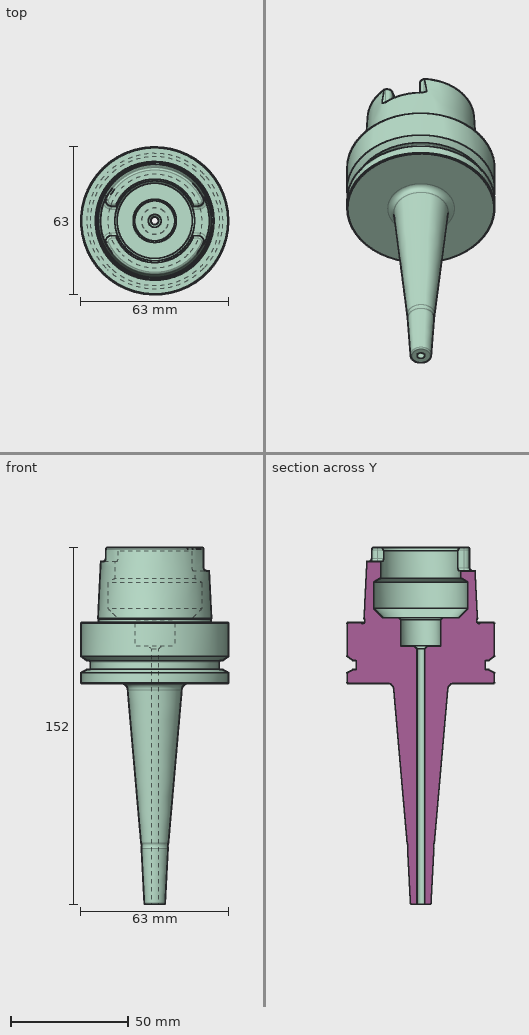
import cadquery as cq
import math


shank_length = 32.0
gauge_diameter = 48.01
gauge_height = 6.3
taper_per_radius = 1 / 20
rim_round = 1.0

relief_diameter = 48.04
relief_height = 1.8
relief_chamfer_height = 0.4
relief_fillet = 0.9
face_recess_diameter = 50.6
face_recess_depth = 0.4

flange_diameter = 63.0
flange_thickness = 26.0
flange_edge = 0.4
groove_diameter = 55.0
groove_mouth_top = -14.4
groove_mouth_bottom = -21.4
groove_wall_top = -16.3
groove_wall_bottom = -20.0
groove_flare_foot_diameter = 57.8
groove_root_fillet = 0.4

overall_length = 152.0
nose_tip_z = shank_length - overall_length
neck_diameter = 23.2
neck_fillet = 2.6
nose_groove_top_z = -93.8
nose_groove_length = 2.2
nose_groove_sag = 0.2
nose_upper_angle = 5.0
nose_lower_diameter = 11.45
nose_lower_angle = 3.0
tip_fillet = 0.6

bore_diameter = 34.0
bore_mouth_diameter = 35.6
bore_mouth_height = 1.4
bore_bottom_z = 18.9
recess_diameter = 40.0
recess_shoulder_angle = 30.0
recess_floor_z = 2.0
recess_floor_chamfer = 4.0

seat_diameter = 17.0
seat_mouth_diameter = 18.5
seat_depth = 12.0
coolant_diameter = 3.17
coolant_mouth_diameter = 5.5

slot_width = 12.54
slot_depths = {-1: 6.0, 1: 10.0}
slot_floor_fillet = 1.3
slot_corner_radius = 2.45
slot_flare_start = 18.4


def shank_radius(z):
    """Radius of the shank taper at height z."""
    return gauge_diameter / 2 - (z - gauge_height) * taper_per_radius


def cone_drop(length, angle):
    """Change in radius of a cone over a length, for a given half angle."""
    return length * math.tan(math.radians(angle))


def arc_inset(radius):
    """Distance from each tangent side to the middle of a square-corner fillet arc."""
    return radius * (1 - math.sqrt(0.5))


def make_body():
    """Solid of revolution for the shank, flange and nose."""
    relief_r = relief_diameter / 2
    flange_r = flange_diameter / 2
    groove_r = groove_diameter / 2
    neck_r = neck_diameter / 2
    neck_z = -flange_thickness - neck_fillet
    neck_mid = arc_inset(neck_fillet)

    groove_end_z = nose_groove_top_z - nose_groove_length
    groove_mid_z = (nose_groove_top_z + groove_end_z) / 2
    upper_end_r = neck_r - cone_drop(neck_z - nose_groove_top_z, nose_upper_angle)
    lower_start_r = nose_lower_diameter / 2
    groove_mid_r = (upper_end_r + lower_start_r) / 2 - nose_groove_sag
    tip_round_z = nose_tip_z + tip_fillet
    tip_r = lower_start_r - cone_drop(groove_end_z - tip_round_z, nose_lower_angle)

    profile = (
        cq.Workplane("XZ")
        .moveTo(0, shank_length)
        .lineTo(shank_radius(shank_length), shank_length)
        .lineTo(shank_radius(relief_height), relief_height)
        .lineTo(relief_r, relief_height - relief_chamfer_height)
        .lineTo(relief_r, relief_fillet - face_recess_depth)
        .threePointArc(
            (relief_r + arc_inset(relief_fillet), arc_inset(relief_fillet) - face_recess_depth),
            (relief_r + relief_fillet, -face_recess_depth),
        )
        .lineTo(face_recess_diameter / 2, 0)
        .lineTo(flange_r - flange_edge, 0)
        .lineTo(flange_r, -flange_edge)
        .lineTo(flange_r, groove_mouth_top)
        .lineTo(groove_flare_foot_diameter / 2, groove_wall_top)
        .lineTo(groove_r + groove_root_fillet, groove_wall_top)
        .threePointArc(
            (groove_r + arc_inset(groove_root_fillet), groove_wall_top - arc_inset(groove_root_fillet)),
            (groove_r, groove_wall_top - groove_root_fillet),
        )
        .lineTo(groove_r, groove_wall_bottom + groove_root_fillet)
        .threePointArc(
            (groove_r + arc_inset(groove_root_fillet), groove_wall_bottom + arc_inset(groove_root_fillet)),
            (groove_r + groove_root_fillet, groove_wall_bottom),
        )
        .lineTo(groove_flare_foot_diameter / 2, groove_wall_bottom)
        .lineTo(flange_r, groove_mouth_bottom)
        .lineTo(flange_r, -flange_thickness + flange_edge)
        .lineTo(flange_r - flange_edge, -flange_thickness)
        .lineTo(neck_r + neck_fillet, -flange_thickness)
        .threePointArc((neck_r + neck_mid, -flange_thickness - neck_mid), (neck_r, neck_z))
        .lineTo(upper_end_r, nose_groove_top_z)
        .threePointArc((groove_mid_r, groove_mid_z), (lower_start_r, groove_end_z))
        .lineTo(tip_r, tip_round_z)
        .threePointArc(
            (tip_r - arc_inset(tip_fillet), nose_tip_z + arc_inset(tip_fillet)),
            (tip_r - tip_fillet, nose_tip_z),
        )
        .lineTo(0, nose_tip_z)
        .close()
    )
    return profile.revolve(360, (0, 0, 0), (0, 1, 0))


def make_slot(side):
    """Cutter for one drive slot, its outer corners flared by convex arcs."""
    half = slot_width / 2
    radius = slot_corner_radius
    arc_across = radius * math.sqrt(0.5)
    arc_mid_y = half + arc_inset(radius)
    flare_end = slot_flare_start + radius
    outer = flange_diameter / 2
    floor_z = shank_length - slot_depths[side]
    cutter = (
        cq.Workplane("XY", origin=(0, 0, floor_z))
        .moveTo(0, -half)
        .lineTo(slot_flare_start, -half)
        .threePointArc((slot_flare_start + arc_across, -arc_mid_y), (flare_end, -half - radius))
        .lineTo(flare_end, -outer)
        .lineTo(outer, -outer)
        .lineTo(outer, outer)
        .lineTo(flare_end, outer)
        .lineTo(flare_end, half + radius)
        .threePointArc((slot_flare_start + arc_across, arc_mid_y), (slot_flare_start, half))
        .lineTo(0, half)
        .close()
        .extrude(shank_length - floor_z)
        .faces("<Z")
        .edges()
        .fillet(slot_floor_fillet)
    )
    if side < 0:
        cutter = cutter.rotate((0, 0, 0), (0, 0, 1), 180)
    return cutter


def make_cavity():
    """Clamping bore, coolant tube seat and through coolant hole as one cutter."""
    bore_r = bore_diameter / 2
    recess_r = recess_diameter / 2
    shoulder_z = bore_bottom_z - cone_drop(recess_r - bore_r, recess_shoulder_angle)
    seat_r = seat_diameter / 2
    seat_mouth_r = seat_mouth_diameter / 2
    seat_floor_z = recess_floor_z - seat_depth
    coolant_r = coolant_diameter / 2
    coolant_mouth_r = coolant_mouth_diameter / 2

    profile = (
        cq.Workplane("XZ")
        .moveTo(0, shank_length)
        .lineTo(bore_mouth_diameter / 2, shank_length)
        .lineTo(bore_r, shank_length - bore_mouth_height)
        .lineTo(bore_r, bore_bottom_z)
        .lineTo(recess_r, shoulder_z)
        .lineTo(recess_r, recess_floor_z + recess_floor_chamfer)
        .lineTo(recess_r - recess_floor_chamfer, recess_floor_z)
        .lineTo(seat_mouth_r, recess_floor_z)
        .lineTo(seat_r, recess_floor_z - (seat_mouth_r - seat_r))
        .lineTo(seat_r, seat_floor_z)
        .lineTo(coolant_mouth_r, seat_floor_z)
        .lineTo(coolant_r, seat_floor_z - (coolant_mouth_r - coolant_r))
        .lineTo(coolant_r, nose_tip_z)
        .lineTo(0, nose_tip_z)
        .close()
    )
    return profile.revolve(360, (0, 0, 0), (0, 1, 0))


result = make_body()
for slot_side in slot_depths:
    result = result.cut(make_slot(slot_side))
result = result.faces(">Z").edges().fillet(rim_round)
result = result.cut(make_cavity())